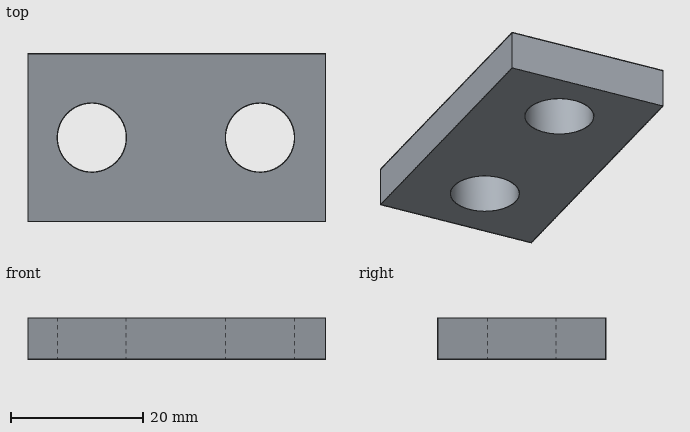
import cadquery as cq

length = 44.96
width = 25.4
thickness = 6.25

hole_diameter = 10.41
hole_spacing = 25.4
hole_end_distance = 9.65

first_hole_x = -length / 2 + hole_end_distance
hole_centers = [(first_hole_x, 0), (first_hole_x + hole_spacing, 0)]


def make_plate():
    """Rectangular plate centred on the origin."""
    return cq.Workplane("XY").box(length, width, thickness)


def drill_holes(plate):
    """Drill both holes through the full thickness."""
    return plate.faces(">Z").workplane().pushPoints(hole_centers).hole(hole_diameter)


result = drill_holes(make_plate())